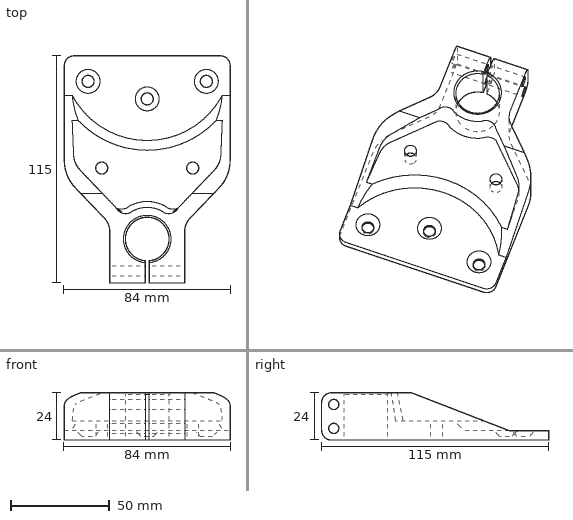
import cadquery as cq
import math

length = 115.0
width = 84.0
height = 24.0
neck_width = 38.0
shoulder_y = 54.0
neck_y = 30.0
shoulder_radius = 20.0
neck_radius = 10.0
corner_radius = 5.1

plate_thickness = 4.8
ramp_start_y = 95.0
ramp_end_y = 45.4

bore_y = 22.3
bore_diameter = 22.0
bore_chamfer = 1.0
slit_width = 2.0
screw_diameter = 5.1
screw_y = 6.2
screw_edge_distance = 6.0

floor_z = 9.8
pocket_back_half_width = 38.0
pocket_corner_x = 37.0
pocket_corner_y = 60.4
pocket_corner_radius = 11.5
wall_end_x = 15.5
boss_floor_radius = 19.0
boss_top_radius = 16.0
boss_half_angle = math.radians(27.5)
lobe_bulge_floor = 1.0
lobe_bulge_top = 2.1

recess_radius = 42.9

hole_diameter = 6.0
countersink_diameter = 12.1
countersink_angle = 90
countersunk_holes = [(-29.9, 102.0), (0, 93.2), (29.9, 102.0)]
pocket_holes = [(-23.0, 58.2), (23.0, 58.2)]

half_width = width / 2
half_neck = neck_width / 2
diagonal_slope = (shoulder_y - neck_y) / (half_width - half_neck)

ramp_slope = (height - plate_thickness) / (ramp_start_y - ramp_end_y)
pocket_back_y = ramp_start_y - (floor_z - plate_thickness) / ramp_slope


def vertical_edges_at(x, y):
    """Select the vertical edges at both mirrored corners."""
    tolerance = 0.1
    right = cq.selectors.BoxSelector(
        (x - tolerance, y - tolerance, -1.2), (x + tolerance, y + tolerance, height + 1.2))
    left = cq.selectors.BoxSelector(
        (-x - tolerance, y - tolerance, -1.2), (-x + tolerance, y + tolerance, height + 1.2))
    return right + left


def make_body():
    half_outline = [
        (half_neck, 0),
        (half_neck, neck_y),
        (half_width, shoulder_y),
        (half_width, length),
    ]
    mirrored = [(-x, y) for x, y in reversed(half_outline)]
    body = cq.Workplane("XY").polyline(half_outline + mirrored).close().extrude(height)
    body = body.edges(vertical_edges_at(half_width, shoulder_y)).fillet(shoulder_radius)
    body = body.edges(vertical_edges_at(half_neck, neck_y)).fillet(neck_radius)
    body = body.edges(vertical_edges_at(half_width, length)).fillet(corner_radius)
    body = body.faces("<Y").edges("|X").fillet(corner_radius)
    side_profile = (
        cq.Workplane("YZ")
        .polyline([
            (0, 0), (length, 0), (length, plate_thickness),
            (ramp_start_y, plate_thickness), (ramp_end_y, height), (0, height),
        ])
        .close()
        .extrude(half_width, both=True)
    )
    return body.intersect(side_profile)


def bulged_midpoint(start, end, bulge):
    """Midpoint of an arc from start to end, bulging to the right of travel."""
    dx = end[0] - start[0]
    dy = end[1] - start[1]
    chord = math.hypot(dx, dy)
    return (
        (start[0] + end[0]) / 2 + bulge * dy / chord,
        (start[1] + end[1]) / 2 - bulge * dx / chord,
    )


def pocket_wire(z, boss_radius, lobe_bulge):
    """Closed pocket outline at height z, ending on the boss around the bore."""
    wall_end = (-wall_end_x, pocket_corner_y - diagonal_slope * (pocket_corner_x - wall_end_x))
    boss_end = (
        -boss_radius * math.sin(boss_half_angle),
        bore_y + boss_radius * math.cos(boss_half_angle),
    )
    lobe_mid = bulged_midpoint(wall_end, boss_end, lobe_bulge)
    return (
        cq.Workplane("XY", origin=(0, 0, z))
        .moveTo(-pocket_back_half_width, length)
        .lineTo(-pocket_back_half_width, pocket_back_y)
        .lineTo(-pocket_corner_x, pocket_corner_y)
        .lineTo(*wall_end)
        .threePointArc(lobe_mid, boss_end)
        .threePointArc((0, bore_y + boss_radius), (-boss_end[0], boss_end[1]))
        .threePointArc((-lobe_mid[0], lobe_mid[1]), (-wall_end[0], wall_end[1]))
        .lineTo(pocket_corner_x, pocket_corner_y)
        .lineTo(pocket_back_half_width, pocket_back_y)
        .lineTo(pocket_back_half_width, length)
        .close()
        .val()
    )


def make_pocket():
    floor_outline = pocket_wire(floor_z, boss_floor_radius, lobe_bulge_floor)
    top_outline = pocket_wire(height, boss_top_radius, lobe_bulge_top)
    pocket = cq.Workplane(cq.Solid.makeLoft([floor_outline, top_outline], True))
    corners = vertical_edges_at(pocket_corner_x, pocket_corner_y)
    return pocket.edges(corners).fillet(pocket_corner_radius)


def make_recess():
    depth = floor_z - plate_thickness
    return cq.Workplane(cq.Solid.makeCone(
        recess_radius, recess_radius + depth, depth, pnt=cq.Vector(0, length, plate_thickness)))


def cut_clamp(body):
    bore_radius = bore_diameter / 2
    bore = cq.Workplane("XY").center(0, bore_y).circle(bore_radius).extrude(height)
    lead_in = cq.Workplane(cq.Solid.makeCone(
        bore_radius, bore_radius + bore_chamfer, bore_chamfer,
        pnt=cq.Vector(0, bore_y, height - bore_chamfer)))
    slit = cq.Workplane("XY").box(slit_width, bore_y, height, centered=(True, False, False))
    screws = (
        cq.Workplane("YZ")
        .pushPoints([(screw_y, screw_edge_distance), (screw_y, height - screw_edge_distance)])
        .circle(screw_diameter / 2)
        .extrude(half_neck, both=True)
    )
    return body.cut(bore).cut(lead_in).cut(slit).cut(screws)


def cut_mounting_holes(body):
    body = (
        body.copyWorkplane(cq.Workplane("XY", origin=(0, 0, plate_thickness)))
        .pushPoints(countersunk_holes)
        .cskHole(hole_diameter, countersink_diameter, countersink_angle)
    )
    plain_holes = (
        cq.Workplane("XY").pushPoints(pocket_holes).circle(hole_diameter / 2).extrude(height)
    )
    return body.cut(plain_holes)


body = make_body().cut(make_pocket()).cut(make_recess())
result = cut_mounting_holes(cut_clamp(body))